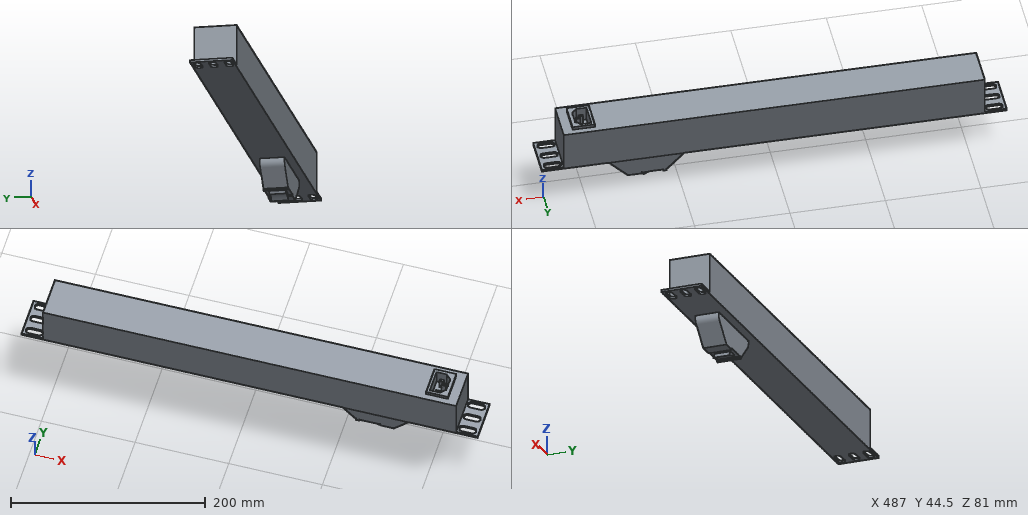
import cadquery as cq
import math

FLANGE_LENGTH = 487.0
HOUSING_LENGTH = 441.0
HOUSING_WIDTH = 44.5
HOUSING_HEIGHT = 45.0
FLANGE_THICKNESS = 2.5

SLOT_LENGTH = 18.0
SLOT_WIDTH = 7.5
SLOT_PITCH = 16.0
SLOT_CENTRE_X = 231.5

INLET_X = 198.0
INLET_PLATE_LENGTH = 23.5
INLET_PLATE_WIDTH = 31.0
INLET_PLATE_HEIGHT = 3.5
INLET_TOP = HOUSING_HEIGHT + INLET_PLATE_HEIGHT
CAVITY_X = 197.5
CAVITY_LENGTH = 16.0
CAVITY_WIDTH = 25.0
CAVITY_CHAMFER = 5.5
CAVITY_DEPTH = 15.5

PIN_LENGTH = 4.5
PIN_WIDTH = 2.5
LINE_PIN_HEIGHT = 10.0
EARTH_PIN_HEIGHT = 13.5
PIN_SPACING = 7.5
LINE_PIN_X = 196.7
EARTH_PIN_X = 201.0

BLOCK_LEFT = 91.0
BLOCK_RIGHT = 173.0
BLOCK_WIDTH = 26.0
BLOCK_DEPTH = 28.0
BLOCK_SIDE_HEIGHT = 3.0
BLOCK_SHOULDER_RADIUS = 8.5
BLOCK_LIP = 1.5
SLOPE_ANGLE = math.radians(45)

RECESS_LEFT = 114.5
RECESS_RIGHT = 137.0

ROCKER_LEFT = 120.0
ROCKER_FACE_START = 121.8
ROCKER_TIP = 134.5
ROCKER_WIDTH = 17.5
ROCKER_FACE_RADIUS = 19.5
ROCKER_FACE_DEPTH = 29.0
ROCKER_TIP_DEPTH = 32.5
ROCKER_BACK_X = 130.0


def make_housing():
    flange = cq.Workplane("XY").box(
        FLANGE_LENGTH, HOUSING_WIDTH, FLANGE_THICKNESS, centered=(True, True, False)
    )
    housing = cq.Workplane("XY").box(
        HOUSING_LENGTH, HOUSING_WIDTH, HOUSING_HEIGHT, centered=(True, True, False)
    )
    slot_centres = [
        (side * SLOT_CENTRE_X, row * SLOT_PITCH) for side in (-1, 1) for row in (-1, 0, 1)
    ]
    slots = (
        cq.Workplane("XY")
        .pushPoints(slot_centres)
        .slot2D(SLOT_LENGTH, SLOT_WIDTH)
        .extrude(FLANGE_THICKNESS)
    )
    return flange.cut(slots).union(housing)


def make_pin(x, y, height):
    return (
        cq.Workplane("XY", origin=(x, y, INLET_TOP - CAVITY_DEPTH))
        .rect(PIN_LENGTH, PIN_WIDTH)
        .extrude(height)
    )


def add_inlet(body):
    plate = (
        cq.Workplane("XY", origin=(INLET_X, 0, HOUSING_HEIGHT))
        .rect(INLET_PLATE_LENGTH, INLET_PLATE_WIDTH)
        .extrude(INLET_PLATE_HEIGHT)
    )
    cavity = (
        cq.Workplane("XY", origin=(CAVITY_X, 0, INLET_TOP))
        .rect(CAVITY_LENGTH, CAVITY_WIDTH)
        .extrude(-CAVITY_DEPTH)
        .edges("|Z and >X")
        .chamfer(CAVITY_CHAMFER)
    )
    body = body.union(plate).cut(cavity)
    for side in (-1, 1):
        body = body.union(make_pin(LINE_PIN_X, side * PIN_SPACING, LINE_PIN_HEIGHT))
    return body.union(make_pin(EARTH_PIN_X, 0, EARTH_PIN_HEIGHT))


def shoulder_point(angle):
    """Distance in from the block's side, and depth, at an angle round the shoulder."""
    inset = BLOCK_SHOULDER_RADIUS * (1 - math.cos(angle))
    depth = BLOCK_SIDE_HEIGHT + BLOCK_SHOULDER_RADIUS * math.sin(angle)
    return inset, depth


def slope_inset(depth):
    """Distance in from the block's side where the slope reaches a depth."""
    start_inset, start_depth = shoulder_point(SLOPE_ANGLE)
    return start_inset + (depth - start_depth) * math.tan(SLOPE_ANGLE)


def make_block():
    mid_inset, mid_depth = shoulder_point(SLOPE_ANGLE / 2)
    end_inset, end_depth = shoulder_point(SLOPE_ANGLE)
    recess_depth = BLOCK_DEPTH - BLOCK_LIP
    lip_x = BLOCK_LEFT + slope_inset(recess_depth)
    return (
        cq.Workplane("XZ")
        .moveTo(BLOCK_LEFT, 0)
        .lineTo(BLOCK_LEFT, -BLOCK_SIDE_HEIGHT)
        .threePointArc((BLOCK_LEFT + mid_inset, -mid_depth), (BLOCK_LEFT + end_inset, -end_depth))
        .lineTo(lip_x, -recess_depth)
        .lineTo(lip_x, -BLOCK_DEPTH)
        .lineTo(RECESS_LEFT, -BLOCK_DEPTH)
        .lineTo(RECESS_LEFT, -recess_depth)
        .lineTo(RECESS_RIGHT, -recess_depth)
        .lineTo(RECESS_RIGHT, -BLOCK_DEPTH)
        .lineTo(BLOCK_RIGHT - slope_inset(BLOCK_DEPTH), -BLOCK_DEPTH)
        .lineTo(BLOCK_RIGHT - end_inset, -end_depth)
        .threePointArc((BLOCK_RIGHT - mid_inset, -mid_depth), (BLOCK_RIGHT, -BLOCK_SIDE_HEIGHT))
        .lineTo(BLOCK_RIGHT, 0)
        .close()
        .extrude(BLOCK_WIDTH / 2, both=True)
    )


def make_rocker():
    root_depth = BLOCK_DEPTH - BLOCK_LIP
    return (
        cq.Workplane("XZ")
        .moveTo(ROCKER_LEFT, -root_depth)
        .lineTo(ROCKER_FACE_START, -ROCKER_FACE_DEPTH)
        .radiusArc((ROCKER_TIP, -ROCKER_TIP_DEPTH), ROCKER_FACE_RADIUS)
        .lineTo(ROCKER_BACK_X, -root_depth)
        .close()
        .extrude(ROCKER_WIDTH / 2, both=True)
    )


result = add_inlet(make_housing()).union(make_block()).union(make_rocker())